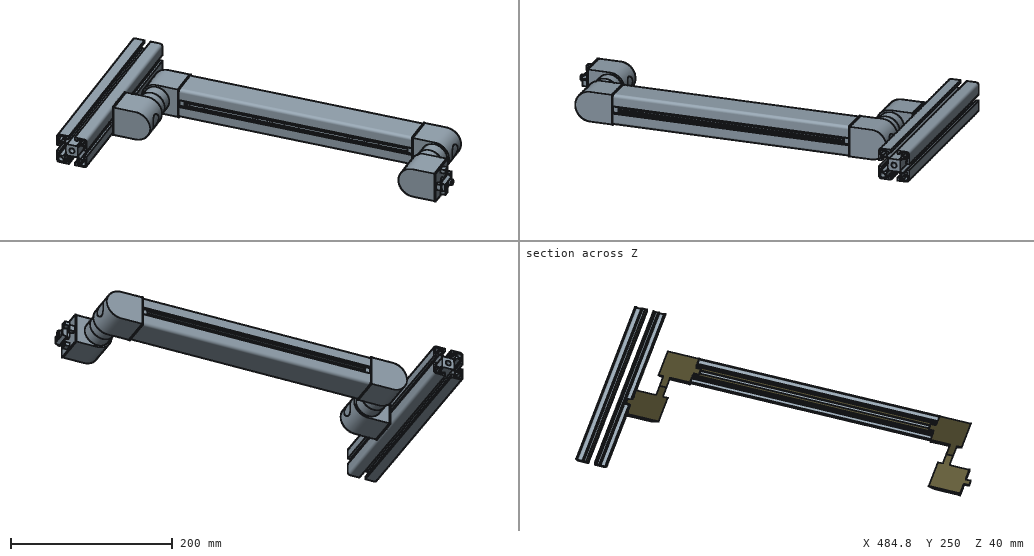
import cadquery as cq
SIZE = 40.0
HALF = SIZE / 2
CORNER_RADIUS = 4.0
SLOT_WIDTH = 8.0
ARM_CHANNEL_WIDTH = 4.4
LIP_THICKNESS = 4.5
LIP_INNER_CHAMFER = 1.0
ARM_LIP_CHAMFER = 1.0
LIP_REACH = 7.0
SKIN = 2.0
SLOT_SKIN = 2.6
SLOT_HALF_WIDTH = 9.8
SLOT_DEPTH = 12.0
FLOOR_HALF_WIDTH = 6.5
CORNER_CELL = 6.2
CORNER_CELL_CHAMFER = 2.0
CORNER_CELL_RADIUS = CORNER_RADIUS - SKIN
CORE_BORE = 6.8

POST_LENGTH = 250.0
ARM_LENGTH = 310.0

AXIS_TO_FACE = 30.0
PLATE_THICKNESS = 1.6
PLATE_OVERHANG = 0.25
NECK_DIAMETER = 34.2
NECK_LENGTH = 15.0
CAP_HOLE = 17.83
CAP_DIAMETER = 17.73
CAP_RING_DEPTH = 5.0
LUG_LENGTH = 6.8
LUG_HEIGHT = 5.0
LUG_CENTRE = 15.3
LUG_CHAMFER = 0.5

BOLT_DIAMETER = 8.0
BOLT_LENGTH = 14.8
BOLT_TIP_CHAMFER = 1.2
NUT_FLANGE_HALF_WIDTH = 6.6
NUT_FLANGE_THICKNESS = 1.2
NUT_TIP_HALF_WIDTH = 4.0
NUT_TOP = 10.8
NUT_SHORT_END = 6.0
NUT_LONG_END = 16.0
BALL_DIAMETER = 4.8
BALL_OFFSET = 10.3
BALL_HEIGHT = 1.2

ARM_GROOVE_DEPTH = HALF - LUG_CENTRE - LUG_HEIGHT / 2
ARM_LIP_THICKNESS = ARM_GROOVE_DEPTH + LUG_HEIGHT

NEAR_AXIS_X = HALF + AXIS_TO_FACE
ARM_START_X = NEAR_AXIS_X + AXIS_TO_FACE
FAR_AXIS_X = ARM_START_X + ARM_LENGTH + AXIS_TO_FACE
LOWER_Y = -HALF
UPPER_Y = LOWER_Y + SIZE + 2 * NECK_LENGTH


def slot_half_outline(lip_thickness):
    """Right half of a T-slot on the +Y side, from the floor up to the underside of the lip."""
    floor = HALF - SLOT_DEPTH
    web_top = floor + SLOT_HALF_WIDTH - FLOOR_HALF_WIDTH
    return [
        (FLOOR_HALF_WIDTH, floor),
        (SLOT_HALF_WIDTH, web_top),
        (SLOT_HALF_WIDTH, HALF - SLOT_SKIN),
        (LIP_REACH, HALF - SLOT_SKIN),
        (LIP_REACH, HALF - lip_thickness),
    ]


def post_slot():
    """Right half of a post slot, with bevelled inner edges on the lips."""
    half_opening = SLOT_WIDTH / 2
    lip = HALF - LIP_THICKNESS
    return slot_half_outline(LIP_THICKNESS) + [
        (half_opening + LIP_INNER_CHAMFER, lip),
        (half_opening, lip + LIP_INNER_CHAMFER),
        (half_opening, HALF),
    ]


def arm_open_slot():
    """Right half of an open arm slot: a shallow groove leads into a narrower channel."""
    half_opening = SLOT_WIDTH / 2
    half_channel = ARM_CHANNEL_WIDTH / 2
    return slot_half_outline(ARM_LIP_THICKNESS) + [
        (half_channel, HALF - ARM_LIP_THICKNESS),
        (half_channel, HALF - ARM_GROOVE_DEPTH),
        (half_opening, HALF - ARM_GROOVE_DEPTH),
        (half_opening, HALF - ARM_LIP_CHAMFER),
        (half_opening + ARM_LIP_CHAMFER, HALF),
    ]


def arm_closed_slot():
    """Right half of a closed arm hollow, which stays below the outer skin."""
    half_channel = ARM_CHANNEL_WIDTH / 2
    return slot_half_outline(ARM_LIP_THICKNESS) + [
        (half_channel, HALF - ARM_LIP_THICKNESS),
        (half_channel, HALF - SLOT_SKIN),
    ]


def slot_cutter(length, half_outline):
    """Prism of a slot from its right half and the mirror image of it."""
    mirrored = [(-x, y) for x, y in reversed(half_outline)]
    return cq.Workplane("XY").polyline(half_outline + mirrored).close().extrude(length)


def profile(length, side_slots):
    """Profile along +Z; the four slot half outlines are listed by quarter turns from +Y."""
    body = cq.Workplane("XY").rect(SIZE, SIZE).extrude(length).edges("|Z").fillet(CORNER_RADIUS)
    body = body.cut(cq.Workplane("XY").circle(CORE_BORE / 2).extrude(length))
    cell_centre = HALF - SKIN - CORNER_CELL / 2
    cell = (
        cq.Workplane("XY").center(cell_centre, cell_centre).rect(CORNER_CELL, CORNER_CELL).extrude(length)
        .edges("|Z and >X and >Y").fillet(CORNER_CELL_RADIUS)
        .edges("|Z and <X and <Y").chamfer(CORNER_CELL_CHAMFER)
    )
    for side, half_outline in enumerate(side_slots):
        turn = 90 * side
        slot = slot_cutter(length, half_outline)
        body = body.cut(slot.rotate((0, 0, 0), (0, 0, 1), turn))
        body = body.cut(cell.rotate((0, 0, 0), (0, 0, 1), turn))
    return body


def lugs():
    """Four keys on the mounting face that engage the slots of a profile end."""
    lug = (
        cq.Workplane("XY").box(LUG_LENGTH, SLOT_WIDTH, LUG_HEIGHT, centered=(False, True, True))
        .faces(">X").edges().chamfer(LUG_CHAMFER)
        .translate((AXIS_TO_FACE, 0, LUG_CENTRE))
    )
    group = lug
    for side in range(1, 4):
        group = group.union(lug.rotate((0, 0, 0), (1, 0, 0), 90 * side))
    return group


def joint_half():
    """Housing with its pivot axis on Y, mounting face toward +X and neck toward +Y."""
    radius = HALF - PLATE_OVERHANG
    width = 2 * radius
    housing = cq.Workplane("XZ").circle(radius).extrude(radius, both=True)
    block = cq.Workplane("XY").box(AXIS_TO_FACE, width, width, centered=(False, True, True))
    housing = housing.union(block)

    ring = (
        cq.Workplane("YZ", origin=(-HALF, 0, 0)).circle(CAP_HOLE / 2).circle(CAP_DIAMETER / 2)
        .extrude(CAP_RING_DEPTH)
    )
    housing = housing.cut(ring)

    plate = (
        cq.Workplane("XY").box(PLATE_THICKNESS, SIZE, SIZE, centered=(False, True, True))
        .translate((AXIS_TO_FACE - PLATE_THICKNESS, 0, 0))
    )
    neck = cq.Workplane("XZ").circle(NECK_DIAMETER / 2).extrude(-(HALF + NECK_LENGTH))
    return housing.union(plate).union(neck).union(lugs())


def fastener():
    """Bolt with a T-slot nut, seated on the mounting face of a joint half."""
    bolt = (
        cq.Workplane("YZ", origin=(AXIS_TO_FACE, 0, 0)).circle(BOLT_DIAMETER / 2).extrude(BOLT_LENGTH)
        .faces(">X").chamfer(BOLT_TIP_CHAMFER)
    )
    nut_start = AXIS_TO_FACE + LIP_THICKNESS
    flange_end = nut_start + NUT_FLANGE_THICKNESS
    nut_end = AXIS_TO_FACE + NUT_TOP
    outline = [
        (nut_start, -NUT_FLANGE_HALF_WIDTH),
        (flange_end, -NUT_FLANGE_HALF_WIDTH),
        (nut_end, -NUT_TIP_HALF_WIDTH),
        (nut_end, NUT_TIP_HALF_WIDTH),
        (flange_end, NUT_FLANGE_HALF_WIDTH),
        (nut_start, NUT_FLANGE_HALF_WIDTH),
    ]
    nut = (
        cq.Workplane("XZ", origin=(0, NUT_SHORT_END, 0)).polyline(outline).close()
        .extrude(NUT_SHORT_END + NUT_LONG_END)
    )
    ball_rim = BALL_DIAMETER / 2
    ball_radius = (ball_rim ** 2 + BALL_HEIGHT ** 2) / (2 * BALL_HEIGHT)
    ball_sink = ball_radius - BALL_HEIGHT
    ball = (
        cq.Workplane("XY").moveTo(0, -ball_sink).lineTo(0, BALL_HEIGHT)
        .radiusArc((ball_rim, 0), ball_radius).lineTo(ball_rim, -ball_sink).close()
        .revolve(360, (0, 0, 0), (0, 1, 0))
        .rotate((0, 0, 0), (0, 0, 1), -90).translate((nut_end, -BALL_OFFSET, 0))
    )
    return bolt.union(nut).union(ball).cut(lugs())


def place(body, turn_axis, x, y):
    """Half turn about an axis through the origin (None for no turn), then shift."""
    if turn_axis is not None:
        body = body.rotate((0, 0, 0), turn_axis, 180)
    return body.translate((x, y, 0))


X_AXIS = (1, 0, 0)
Y_AXIS = (0, 1, 0)
Z_AXIS = (0, 0, 1)

lower_places = [(Y_AXIS, NEAR_AXIS_X, LOWER_Y), (None, FAR_AXIS_X, LOWER_Y)]
upper_places = [(X_AXIS, NEAR_AXIS_X, UPPER_Y), (Z_AXIS, FAR_AXIS_X, UPPER_Y)]

joint_halves = [place(joint_half(), *where) for where in lower_places + upper_places]
fasteners = [place(fastener(), *where) for where in lower_places]

post = (
    profile(POST_LENGTH, [post_slot()] * 4).rotate((0, 0, 0), X_AXIS, 90)
    .translate((0, POST_LENGTH / 2, 0))
)
post = post.cut(joint_halves[0]).cut(fasteners[0])

arm = (
    profile(ARM_LENGTH, [arm_open_slot(), arm_closed_slot()] * 2).rotate((0, 0, 0), Y_AXIS, 90)
    .translate((ARM_START_X, UPPER_Y, 0))
)
for half in joint_halves[2:]:
    arm = arm.cut(half)

bodies = [post, arm] + joint_halves + fasteners
result = cq.Compound.makeCompound([body.solids().val() for body in bodies])